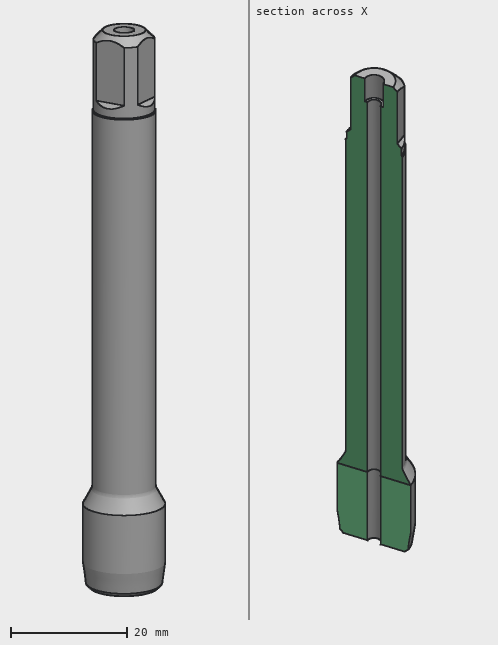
import cadquery as cq

total_length = 100.0
thread_length = 14.9
lead_length = 4.4
tip_chamfer_height = 0.7

thread_diameter = 14.2
lead_end_diameter = 13.2
tip_diameter = 11.8

shank_diameter = 11.0
shoulder_height = 2.9
shoulder_fillet_radius = 1.2
shank_top = 85.7
shank_edge_chamfer = 0.2

drive_diameter = 10.6
drive_across_flats = 9.0
flat_bottom = 88.0
drive_chamfer = 1.6

channel_diameter = 2.5
centre_diameter = 3.5
centre_depth = 5.0


def make_channel():
    """Through channel with a wider mouth at the drive end."""
    bore = cq.Workplane("XY").circle(channel_diameter / 2).extrude(total_length)
    mouth = (
        cq.Workplane("XY")
        .workplane(offset=total_length - centre_depth)
        .circle(centre_diameter / 2)
        .extrude(centre_depth)
    )
    return bore.union(mouth)


def make_thread_section():
    """Plain envelope of the thread with its tapered lead and tip chamfer."""
    profile = (
        cq.Workplane("XZ")
        .lineTo(tip_diameter / 2, 0)
        .lineTo(lead_end_diameter / 2, tip_chamfer_height)
        .lineTo(thread_diameter / 2, lead_length)
        .lineTo(thread_diameter / 2, thread_length)
        .lineTo(0, thread_length)
        .close()
    )
    return profile.revolve(360, (0, 0), (0, 1)).cut(make_channel())


def make_shank_blank():
    """Conical shoulder, shank and round drive end."""
    shank_radius = shank_diameter / 2
    drive_radius = drive_diameter / 2
    shoulder_top = thread_length + shoulder_height
    blank = (
        cq.Workplane("XZ")
        .moveTo(0, thread_length)
        .lineTo(thread_diameter / 2, thread_length)
        .lineTo(shank_radius, shoulder_top)
        .lineTo(shank_radius, shank_top - shank_edge_chamfer)
        .lineTo(drive_radius, shank_top)
        .lineTo(drive_radius, total_length - drive_chamfer)
        .lineTo(drive_radius - drive_chamfer, total_length)
        .lineTo(0, total_length)
        .close()
        .revolve(360, (0, 0), (0, 1))
    )
    shoulder_edge = cq.selectors.BoxSelector(
        (-shank_diameter, -shank_diameter, shoulder_top - shank_edge_chamfer),
        (shank_diameter, shank_diameter, shoulder_top + shank_edge_chamfer),
        boundingbox=True,
    )
    return blank.edges(shoulder_edge).edges("%CIRCLE").fillet(shoulder_fillet_radius)


def make_flat_cutter():
    """Removes one drive flat on the +X side; its floor runs out at 45 degrees."""
    flat_offset = drive_across_flats / 2
    reach = (shank_diameter - drive_across_flats) / 2
    return (
        cq.Workplane("XZ")
        .moveTo(flat_offset, flat_bottom)
        .lineTo(flat_offset, total_length)
        .lineTo(flat_offset + reach, total_length)
        .lineTo(flat_offset + reach, flat_bottom - reach)
        .close()
        .extrude(shank_diameter / 2, both=True)
    )


def make_shank():
    """Shank with four drive flats and the coolant channel."""
    shank = make_shank_blank()
    flat_count = 4
    for index in range(flat_count):
        angle = index * 360 / flat_count
        shank = shank.cut(make_flat_cutter().rotate((0, 0, 0), (0, 0, 1), angle))
    return shank.cut(make_channel())


thread_section = make_thread_section()
shank = make_shank()

result = cq.Compound.makeCompound([thread_section.val(), shank.val()])